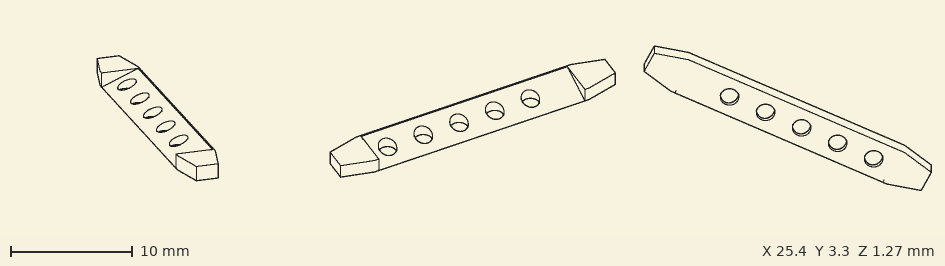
import cadquery as cq

length = 25.4
width = 3.3
thickness = 1.27

taper_length = 2.8
tip_width = 1.9

slope_length = 19.05
rim_width = 0.13

hole_diameter = 1.52
hole_count = 5
hole_pitch = 3.3
first_hole_from_end = 4.83

half_length = length / 2
half_width = width / 2
half_tip = tip_width / 2
shoulder_x = half_length - taper_length


def make_bar():
    """Flat bar narrowing to a blunt tip at each end."""
    outline = [
        (-half_length, -half_tip),
        (-shoulder_x, -half_width),
        (shoulder_x, -half_width),
        (half_length, -half_tip),
        (half_length, half_tip),
        (shoulder_x, half_width),
        (-shoulder_x, half_width),
        (-half_length, half_tip),
    ]
    return cq.Workplane("XY").polyline(outline).close().extrude(thickness)


def make_slope_cut():
    """Wedge removed above the slope, from the -Y bottom edge up to the +Y rim."""
    triangle = [
        (-half_width, 0),
        (half_width - rim_width, thickness),
        (-half_width, thickness),
    ]
    profile = cq.Workplane("YZ").polyline(triangle).close()
    return profile.extrude(slope_length / 2, both=True)


def make_holes():
    """Vertical cylinders for the evenly spaced holes."""
    first_x = first_hole_from_end - half_length
    centres = [(first_x + i * hole_pitch, 0) for i in range(hole_count)]
    return cq.Workplane("XY").pushPoints(centres).circle(hole_diameter / 2).extrude(thickness)


result = make_bar().cut(make_slope_cut()).cut(make_holes())